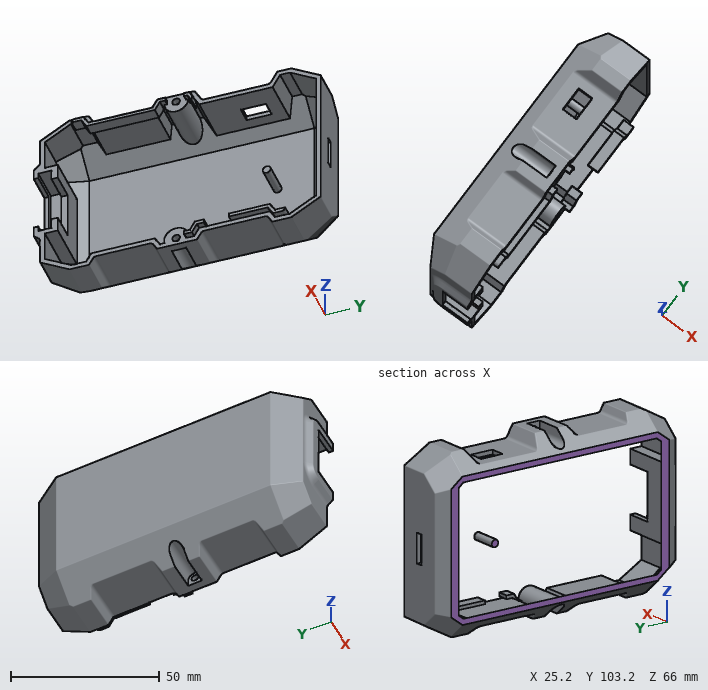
import cadquery as cq
import math

TOTAL_LENGTH = 103.2
PAD_HEIGHT = 2.3
HALF_LENGTH = (TOTAL_LENGTH - PAD_HEIGHT) / 2
HALF_HEIGHT = 33.0
RIM_X = 23.0
TOTAL_DEPTH = 25.2
WALL = 1.8
LIP_WALL = 1.3
LIP_ROOT = 2.1
EDGE_ROUND = 0.5
VALLEY_ROUND = 1.5
MARGIN = 5.2

LONG_CHAMFER_X = 10.3
LONG_SLOPE = math.tan(math.radians(41))
LONG_CHAMFER_Z = LONG_CHAMFER_X * LONG_SLOPE
END_CHAMFER_Y = 9.6
CORNER_CHAMFER_Y = 10.6
END_SLOPE = math.tan(math.radians(30))
END_CHAMFER_X = END_CHAMFER_Y * END_SLOPE
CORNER_CHAMFER_Z = CORNER_CHAMFER_Y * END_SLOPE
FACET_DROP = END_CHAMFER_Y * math.tan(math.radians(15))

TOP_RECESSES = [(-31.3, -10.2, 3.1), (7.7, 32.1, 4.6)]
BOTTOM_RECESSES = [(-31.1, -10.2, 3.1), (7.7, 31.2, 3.1)]

SCREW_Y = -1.5
SCREW_Z = 30.2
CHANNEL_RADIUS = 2.6
CHANNEL_END_X = 20.1
SCREW_HOLE_RADIUS = 1.3
BOSS_RADIUS = CHANNEL_RADIUS + WALL

PAD_TOP_HALF_Z = 14.5
PAD_TOP_X = 8.7
PAD_TOP_RADIUS = 4.0
PAD_SLOPE_ANGLE = 41.0
PAD_EDGE_ROUND = 0.5
PAD_FOOT_ROUND = 1.9
MOUTH_X, MOUTH_HALF_Z, MOUTH_DEPTH = 12.5, 10.7, 1.7
GROOVE_X, GROOVE_HALF_Z, GROOVE_DEPTH = 10.5, 12.7, 6.4
THROAT_X, THROAT_HALF_Z, THROAT_DEPTH = 13.2, 8.9, 8.7

TOP_WINDOW_X = (9.8, 15.5)
TOP_WINDOW_Y = (19.0, 28.0)
END_WINDOW_X = (THROAT_X, 15.7)
END_WINDOW_Z = (-6.1, 4.9)

POST_Y = 27.2
POST_Z = 0.0
POST_RADIUS = 1.4
POST_TOP_X = 12.7

LIPS = [(-38.4, -4.7, 1, "<Y"), (2.1, 4.9, 1, None), (2.1, 9.2, -1, None), (18.2, 38.4, -1, ">Y")]
LIP_END_ROUND = 1.2


def box(x_range, y_range, z_range):
    sizes = [end - start for start, end in (x_range, y_range, z_range)]
    corner = (x_range[0], y_range[0], z_range[0])
    return cq.Workplane("XY").box(*sizes, centered=False).translate(corner)


def x_cylinder(y, z, radius, start_x, end_x):
    return cq.Workplane("YZ", origin=(start_x, y, z)).circle(radius).extrude(end_x - start_x)


def inset_outline(outline, inset):
    return outline.offset2D(-inset, "intersection") if inset else outline


def recess_cutter(start, end, depth, side, inset, valley_round):
    """Trapezoid prism along X; an inset makes it larger on every face."""
    opening_z = HALF_HEIGHT + MARGIN
    floor_z = HALF_HEIGHT - depth
    spread = (opening_z - floor_z) * END_SLOPE
    section = [
        (start - spread, side * opening_z), (start, side * floor_z),
        (end, side * floor_z), (end + spread, side * opening_z),
    ]
    outline = cq.Workplane("YZ").polyline(section).close()
    cutter = inset_outline(outline, -inset).extrude(TOTAL_LENGTH, both=True)
    if valley_round:
        floor_face = "<Z" if side > 0 else ">Z"
        cutter = cutter.faces(floor_face).edges("|X").fillet(valley_round)
    return cutter


def side_prism(inset=0, valley_round=0):
    """Long prism along X: eight-sided outline less the grip recesses."""
    corner_y = HALF_LENGTH - CORNER_CHAMFER_Y
    corner_z = HALF_HEIGHT - CORNER_CHAMFER_Z
    section = [
        (-HALF_LENGTH, corner_z), (-corner_y, HALF_HEIGHT),
        (corner_y, HALF_HEIGHT), (HALF_LENGTH, corner_z),
        (HALF_LENGTH, -corner_z), (corner_y, -HALF_HEIGHT),
        (-corner_y, -HALF_HEIGHT), (-HALF_LENGTH, -corner_z),
    ]
    outline = cq.Workplane("YZ").polyline(section).close()
    prism = inset_outline(outline, inset).extrude(TOTAL_LENGTH, both=True)
    for side, recesses in ((1, TOP_RECESSES), (-1, BOTTOM_RECESSES)):
        for start, end, depth in recesses:
            prism = prism.cut(recess_cutter(start, end, depth, side, inset, valley_round))
    return prism


def face_chamfer_prism(plane, half_width, chamfer_x, chamfer_width, inset):
    """Prism across the body whose section is chamfered at the closed face."""
    open_x = RIM_X + MARGIN
    section = [
        (open_x, half_width), (chamfer_x, half_width), (0, half_width - chamfer_width),
        (0, chamfer_width - half_width), (chamfer_x, -half_width), (open_x, -half_width),
    ]
    outline = cq.Workplane(plane).polyline(section).close()
    return inset_outline(outline, inset).extrude(TOTAL_LENGTH, both=True)


def corner_facet_cutter(y_side, z_side, inset):
    """Everything outside one corner facet.

    The facet holds the slope line of the long chamfer where the end chamfer starts, and
    falls towards the middle height on its way to the end face.
    """
    start_y = y_side * (HALF_LENGTH - END_CHAMFER_Y)
    start_z = z_side * (HALF_HEIGHT - LONG_CHAMFER_Z)
    start = cq.Vector(0, start_y, start_z)
    slope_line = cq.Vector(1, 0, z_side * LONG_SLOPE)
    falling_edge = cq.Vector(END_CHAMFER_X, y_side * END_CHAMFER_Y, -z_side * FACET_DROP)
    normal = slope_line.cross(falling_edge).normalized()
    if normal.x > 0:
        normal = -normal
    facet = cq.Plane(start - normal * inset, slope_line, normal)
    return cq.Workplane(facet).rect(TOTAL_LENGTH, TOTAL_LENGTH).extrude(HALF_LENGTH)


def faceted_block(inset=0, valley_round=0):
    """Body outline, longer than the rim; an inset moves every face inwards."""
    long_sides = face_chamfer_prism("XZ", HALF_HEIGHT, LONG_CHAMFER_X, LONG_CHAMFER_Z, inset)
    ends = face_chamfer_prism("XY", HALF_LENGTH, END_CHAMFER_X, END_CHAMFER_Y, inset)
    block = side_prism(inset, valley_round).intersect(long_sides).intersect(ends)
    for y_side in (1, -1):
        for z_side in (1, -1):
            block = block.cut(corner_facet_cutter(y_side, z_side, inset))
    return block


def below_rim():
    """Everything between the closed face and the rim."""
    reach = (-TOTAL_LENGTH, TOTAL_LENGTH)
    return box((0, RIM_X), reach, reach)


def connector_pad():
    """Tapered pad with rounded corners on the -Y end."""
    spread = PAD_HEIGHT * math.tan(math.radians(PAD_SLOPE_ANGLE))
    base_x = PAD_TOP_X - spread
    base_length = 2 * (RIM_X - base_x)
    base = (
        cq.Sketch()
        .rect(base_length, 2 * (PAD_TOP_HALF_Z + spread))
        .vertices()
        .fillet(PAD_TOP_RADIUS + spread)
    )
    pad = (
        cq.Workplane("XZ", origin=(RIM_X, -HALF_LENGTH, 0))
        .placeSketch(base)
        .extrude(PAD_HEIGHT, taper=PAD_SLOPE_ANGLE)
    )
    return pad.faces("<Y").edges().fillet(PAD_EDGE_ROUND)


def outer_solid():
    """Rounded body with the connector pad blended onto its -Y end, ending at the rim."""
    block = faceted_block(valley_round=VALLEY_ROUND).edges("not >X").fillet(EDGE_ROUND)
    solid = block.union(connector_pad()).intersect(below_rim())
    foot_half_z = PAD_TOP_HALF_Z + PAD_HEIGHT
    foot = cq.selectors.BoxSelector(
        (END_CHAMFER_X + EDGE_ROUND, -HALF_LENGTH - EDGE_ROUND, -foot_half_z),
        (RIM_X - EDGE_ROUND, -HALF_LENGTH + EDGE_ROUND, foot_half_z),
    )
    return solid.edges(foot).fillet(PAD_FOOT_ROUND)


def screw_boss(side):
    """Round column around a screw channel, from the closed face to the rim."""
    return x_cylinder(SCREW_Y, side * SCREW_Z, BOSS_RADIUS, 0, RIM_X)


def connector_block():
    """Solid mass inside the -Y end that carries the stepped opening."""
    inner_y = -HALF_LENGTH - PAD_HEIGHT + THROAT_DEPTH
    return box((0, RIM_X), (-HALF_LENGTH, inner_y), (-PAD_TOP_HALF_Z, PAD_TOP_HALF_Z))


def connector_opening():
    """Mouth, wider groove and narrower throat, all open at the rim."""
    outer_y = -HALF_LENGTH - PAD_HEIGHT
    steps = [
        (MOUTH_X, MOUTH_HALF_Z, 0, MOUTH_DEPTH),
        (GROOVE_X, GROOVE_HALF_Z, MOUTH_DEPTH, GROOVE_DEPTH),
        (THROAT_X, THROAT_HALF_Z, GROOVE_DEPTH, THROAT_DEPTH),
    ]
    opening = cq.Workplane("XY")
    for start_x, half_z, near, far in steps:
        opening = opening.union(
            box((start_x, RIM_X), (outer_y + near, outer_y + far), (-half_z, half_z)))
    return opening


def screw_channel(side):
    """Round-bottomed channel open to the long side, with a hole through to the rim."""
    z = side * SCREW_Z
    outer_z = side * (HALF_HEIGHT + MARGIN)
    channel = x_cylinder(SCREW_Y, z, CHANNEL_RADIUS, 0, CHANNEL_END_X)
    slot = box(
        (0, CHANNEL_END_X),
        (SCREW_Y - CHANNEL_RADIUS, SCREW_Y + CHANNEL_RADIUS),
        sorted((z, outer_z)),
    )
    hole = x_cylinder(SCREW_Y, z, SCREW_HOLE_RADIUS, 0, RIM_X)
    return channel.union(slot).union(hole)


def locating_lip(ring, start, end, side, rounded_end):
    """Length of the ring inside the wall, standing out past the rim."""
    reach = box((RIM_X - LIP_ROOT, TOTAL_DEPTH), (start, end), sorted((0, side * HALF_HEIGHT)))
    lip = ring.intersect(reach)
    if rounded_end:
        outer_edge = ">Z" if side > 0 else "<Z"
        lip = lip.faces(rounded_end).edges(outer_edge).fillet(LIP_END_ROUND)
    return lip


outer = outer_solid()
inner_mass = connector_block()
for side in (1, -1):
    inner_mass = inner_mass.union(screw_boss(side))
shell = outer.cut(faceted_block(WALL)).union(inner_mass.intersect(outer))
shell = shell.union(x_cylinder(POST_Y, POST_Z, POST_RADIUS, WALL / 2, POST_TOP_X))

shell = shell.cut(connector_opening())
for side in (1, -1):
    shell = shell.cut(screw_channel(side))
shell = shell.cut(box(TOP_WINDOW_X, TOP_WINDOW_Y, (HALF_HEIGHT - 2 * MARGIN, HALF_HEIGHT)))
shell = shell.cut(box(END_WINDOW_X, (HALF_LENGTH - MARGIN, HALF_LENGTH), END_WINDOW_Z))

ring = side_prism(WALL).cut(side_prism(WALL + LIP_WALL))
for lip in LIPS:
    shell = shell.union(locating_lip(ring, *lip))

result = shell